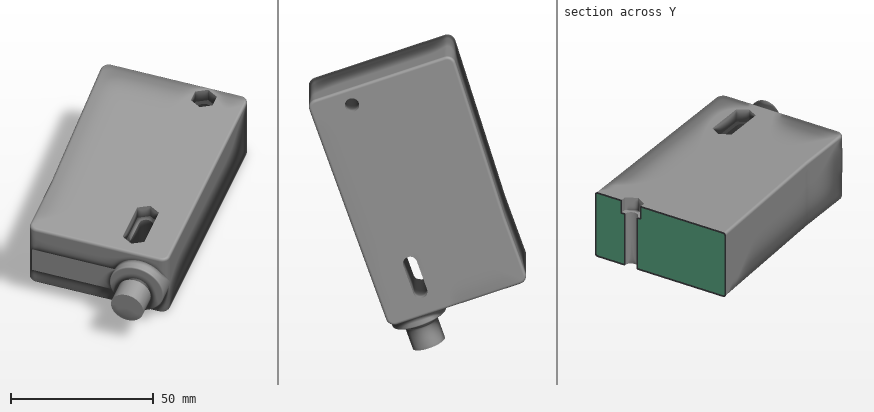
import cadquery as cq
import math

overall_width = 54.18
base_width = 51.8
body_length = 88.0
body_height = 25.8
top_z = body_height / 2
slant_start = 25.0
corner_radius = 3.0
rim_radius = 1.0

collar_diameter = 20.0
collar_length = 4.0
collar_edge_radius = 0.5
neck_diameter = 10.0
neck_length = 2.0
tip_diameter = 12.0
tip_length = 8.0
connector_x = -collar_diameter / 2

bar_outer_height = 10.0
bar_depth = 2.0
bar_inner_height = bar_outer_height - 2 * bar_depth
bar_left_inset = 2.4

hole_x = -14.8
hole_diameter = 5.0
nut_flats = 8.0
nut_recess_depth = 5.0
round_hole_y = body_length - 6.0
slot_y = 14.5
slot_travel = 11.0


def make_body():
    corner_centre_run = body_length - corner_radius - slant_start
    slope = (overall_width - base_width) / corner_centre_run
    far_width = base_width + slope * (body_length - slant_start)
    outline = [
        (0, 0),
        (0, body_length),
        (-far_width, body_length),
        (-base_width, slant_start),
        (-base_width, 0),
    ]
    bottom_plane = cq.Workplane("XY", origin=(0, 0, -top_z))
    block = bottom_plane.polyline(outline).close().extrude(body_height)
    block = block.edges("|Z and (<Y or >Y)").fillet(corner_radius)
    return block.faces("<Z or >Z").edges().fillet(rim_radius)


def cylinder_along_y(diameter, start_y, end_y):
    axis_start = cq.Vector(connector_x, start_y, 0)
    toward_tip = cq.Vector(0, -1, 0)
    return cq.Workplane(cq.Solid.makeCylinder(diameter / 2, start_y - end_y, axis_start, toward_tip))


def make_connector():
    neck_start = -collar_length
    tip_start = neck_start - neck_length
    collar = cylinder_along_y(collar_diameter, corner_radius, neck_start)
    collar = collar.faces("<Y").edges().fillet(collar_edge_radius)
    neck = cylinder_along_y(neck_diameter, neck_start, tip_start)
    tip = cylinder_along_y(tip_diameter, tip_start, tip_start - tip_length)
    return collar.union(neck).union(tip)


def make_bar():
    bar_left = -base_width + bar_left_inset
    profile = [
        (0, bar_inner_height / 2),
        (-bar_depth, bar_outer_height / 2),
        (-bar_depth, -bar_outer_height / 2),
        (0, -bar_inner_height / 2),
    ]
    plane = cq.Workplane("YZ", origin=(bar_left, 0, 0))
    return plane.polyline(profile).close().extrude(connector_x - bar_left)


def make_mounting_cut(centre_y, travel):
    """Through hole and nut recess, both stretched along Y by the given travel."""
    half_travel = travel / 2
    half_flats = nut_flats / 2
    half_sector = math.pi / 6
    side_y = half_travel + half_flats * math.tan(half_sector)
    point_y = half_travel + half_flats / math.cos(half_sector)
    recess_outline = [
        (0, point_y),
        (half_flats, side_y),
        (half_flats, -side_y),
        (0, -point_y),
        (-half_flats, -side_y),
        (-half_flats, side_y),
    ]
    top_plane = cq.Workplane("XY", origin=(hole_x, centre_y, top_z))
    recess = top_plane.polyline(recess_outline).close().extrude(-nut_recess_depth)
    if travel > 0:
        hole_outline = top_plane.slot2D(travel + hole_diameter, hole_diameter, 90)
    else:
        hole_outline = top_plane.circle(hole_diameter / 2)
    return recess.union(hole_outline.extrude(-body_height))


result = make_body().union(make_bar()).union(make_connector())
for centre_y, travel in ((round_hole_y, 0), (slot_y, slot_travel)):
    result = result.cut(make_mounting_cut(centre_y, travel))